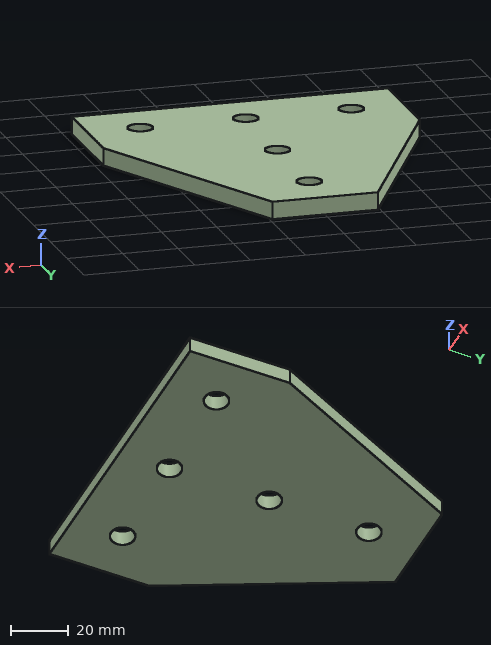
import cadquery as cq

plate_size = 114.3
plate_thickness = 6.4
hole_diameter = 8.8

module = plate_size / 3
half_width = plate_size / 2
half_top_width = module / 2
bottom_y = -plate_size / 2
top_y = plate_size / 2
shoulder_y = bottom_y + module

base_row = [(column * module, -module) for column in (-1, 0, 1)]
stem_column = [(0, row * module) for row in (0, 1)]


def make_plate():
    """Flat plate with a straight base and sides tapering to a narrow top edge."""
    outline = [
        (-half_width, bottom_y),
        (half_width, bottom_y),
        (half_width, shoulder_y),
        (half_top_width, top_y),
        (-half_top_width, top_y),
        (-half_width, shoulder_y),
    ]
    return cq.Workplane("XY").polyline(outline).close().extrude(plate_thickness)


def drill_holes(plate):
    """Drill the T-shaped pattern of through holes from the top face."""
    hole_centers = base_row + stem_column
    top_face = plate.faces(">Z").workplane(origin=(0, 0, plate_thickness))
    return top_face.pushPoints(hole_centers).hole(hole_diameter)


result = drill_holes(make_plate())